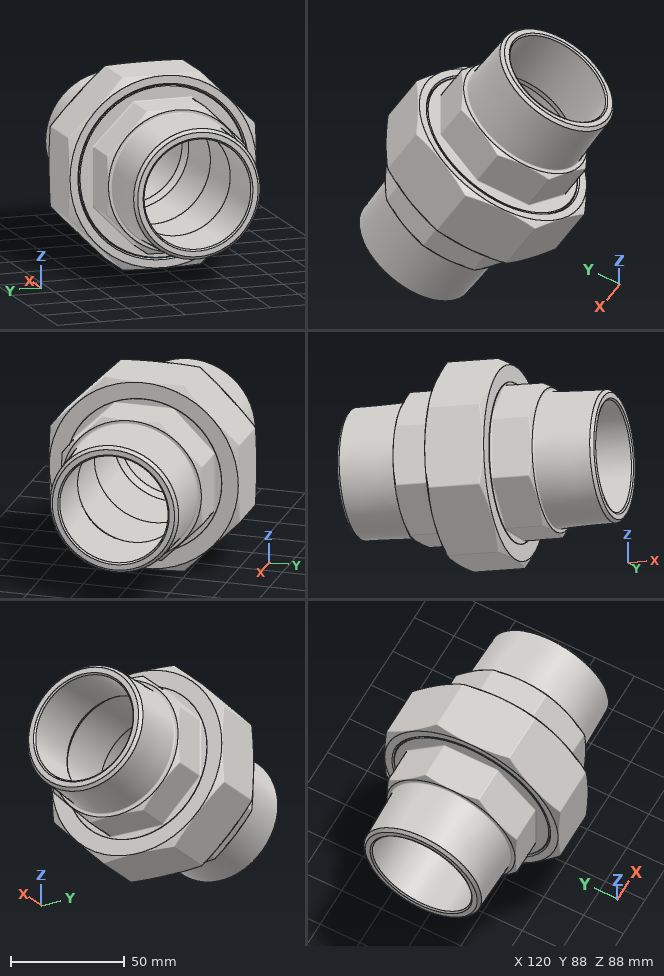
import cadquery as cq
import math


overall_length = 120.0
bore_diameter = 50.0
bore_chamfer = 0.7
wide_bore_diameter = 54.0
flare_distance = 32.0
flare_angle = 30.0
joint_x = 0.0
octagon_sides = 8
corner_radius = 1.0
rim_radius = 0.5
octagon_chamfer_angle = 25.0

nut_flats = 88.0
nut_length = 27.6
nut_face_diameter = 87.4
nut_bore_diameter = 78.7
nut_lip_length = 6.0
nut_bore_chamfer = 0.66

thread_large_diameter = 61.0
thread_taper = 1 / 16
thread_chamfer = 1.5
thread_foot_radius = 0.6
grip_flats = 65.0
grip_face_diameter = 64.5
grip_face_distance = 32.5
grip_foot_radius = 0.6
neck_diameter = 72.0
collar_face_distance = 13.5

half_length = overall_length / 2
half_nut = nut_length / 2
collar_chamfer = nut_bore_chamfer - (half_nut - collar_face_distance)
grip_reach = (grip_flats + neck_diameter) / 4
plane_tolerance = 0.01
lip_inner_x = half_nut - nut_lip_length


def cylinder(diameter, start_x, end_x):
    """Solid cylinder along X."""
    return cq.Workplane("YZ").workplane(offset=start_x).circle(diameter / 2).extrude(end_x - start_x)


def turned(profile):
    """Revolve a closed (x, radius) profile about the X axis."""
    return profile.close().revolve(360, (0, 0, 0), (1, 0, 0))


def octagon_bar(flats, start_x, end_x):
    """Octagonal bar along X with flats facing Y and Z and rounded long edges."""
    corner_diameter = flats / math.cos(math.pi / octagon_sides)
    half_side_angle = 180 / octagon_sides
    bar = (
        cq.Workplane("YZ")
        .workplane(offset=start_x)
        .transformed(rotate=(0, 0, half_side_angle))
        .polygon(octagon_sides, corner_diameter)
        .extrude(end_x - start_x)
    )
    return bar.edges("|X").fillet(corner_radius)


def chamfer_envelope(face_diameter, flats, start_x, end_x, both_ends):
    """Turned blank that cuts the octagon corners back from the end faces."""
    outer_radius = flats / 2 / math.cos(math.pi / octagon_sides)
    face_radius = face_diameter / 2
    depth = (outer_radius - face_radius) * math.tan(math.radians(octagon_chamfer_angle))
    profile = (
        cq.Workplane("XY")
        .moveTo(start_x, 0)
        .lineTo(start_x, face_radius)
        .lineTo(start_x + depth, outer_radius)
    )
    if both_ends:
        profile = profile.lineTo(end_x - depth, outer_radius).lineTo(end_x, face_radius)
    else:
        profile = profile.lineTo(end_x, outer_radius)
    return turned(profile.lineTo(end_x, 0))


def chamfered_octagon(flats, face_diameter, start_x, end_x, both_ends):
    """Octagonal bar with turned chamfers whose borders with the flats are rounded."""
    envelope = chamfer_envelope(face_diameter, flats, start_x, end_x, both_ends)
    blank = octagon_bar(flats, start_x, end_x).intersect(envelope)
    return blank.edges("%HYPERBOLA or %BSPLINE").fillet(rim_radius)


def make_nut():
    blank = chamfered_octagon(nut_flats, nut_face_diameter, -half_nut, half_nut, True)
    mouth_radius = nut_bore_diameter / 2 + nut_bore_chamfer
    opening = turned(
        cq.Workplane("XY")
        .moveTo(-half_nut, 0)
        .lineTo(-half_nut, mouth_radius)
        .lineTo(-half_nut + nut_bore_chamfer, nut_bore_diameter / 2)
        .lineTo(lip_inner_x, nut_bore_diameter / 2)
        .lineTo(lip_inner_x, 0)
    )
    return blank.cut(opening).cut(cylinder(neck_diameter, lip_inner_x, half_nut))


def make_thread():
    """Tapered thread blank on the -X side, flaring into the grip face."""
    foot_x = -grip_face_distance - thread_foot_radius
    foot_radius = thread_large_diameter / 2
    crest_x = -half_length + thread_chamfer
    crest_radius = foot_radius - (foot_x - crest_x) * thread_taper / 2
    return turned(
        cq.Workplane("XY")
        .moveTo(-half_length, 0)
        .lineTo(-half_length, crest_radius - thread_chamfer)
        .lineTo(crest_x, crest_radius)
        .lineTo(foot_x, foot_radius)
        .radiusArc((-grip_face_distance, foot_radius + thread_foot_radius), -thread_foot_radius)
        .lineTo(-grip_face_distance, 0)
    )


def make_bore(end_x):
    """Bore cutter from the outer end to end_x, widening conically inside the grip."""
    bore_radius = bore_diameter / 2
    mouth_radius = bore_radius + bore_chamfer
    wide_radius = wide_bore_diameter / 2
    flare_length = (wide_radius - bore_radius) / math.tan(math.radians(flare_angle))
    return turned(
        cq.Workplane("XY")
        .moveTo(-half_length, 0)
        .lineTo(-half_length, mouth_radius)
        .lineTo(-half_length + bore_chamfer, bore_radius)
        .lineTo(-flare_distance, bore_radius)
        .lineTo(-flare_distance + flare_length, wide_radius)
        .lineTo(end_x, wide_radius)
        .lineTo(end_x, 0)
    )


def make_end(collar, end_x):
    """Threaded end on the -X side: thread, grip and the given collar, bored through to end_x."""
    grip = chamfered_octagon(
        grip_flats, grip_face_diameter, -grip_face_distance, -collar_face_distance, False
    )
    grip_foot_edges = cq.selectors.BoxSelector(
        (-collar_face_distance - plane_tolerance, -grip_reach, -grip_reach),
        (-collar_face_distance + plane_tolerance, grip_reach, grip_reach),
        boundingbox=True,
    )
    body = grip.union(collar).edges(grip_foot_edges).fillet(grip_foot_radius)
    return body.union(make_thread()).cut(make_bore(end_x))


def make_left_end():
    collar = cylinder(nut_bore_diameter, -collar_face_distance, joint_x)
    return make_end(collar.faces("<X").edges().chamfer(collar_chamfer), joint_x)


def make_right_end():
    """Built on the -X side, then mirrored: a neck through the nut lip and a flange behind it."""
    neck = cylinder(neck_diameter, -collar_face_distance, -joint_x)
    flange = cylinder(nut_bore_diameter, -lip_inner_x, -joint_x)
    return make_end(neck.union(flange), -joint_x).mirror("YZ")


nut = make_nut()
left_end = make_left_end()
right_end = make_right_end()

result = cq.Compound.makeCompound([nut.val(), left_end.val(), right_end.val()])